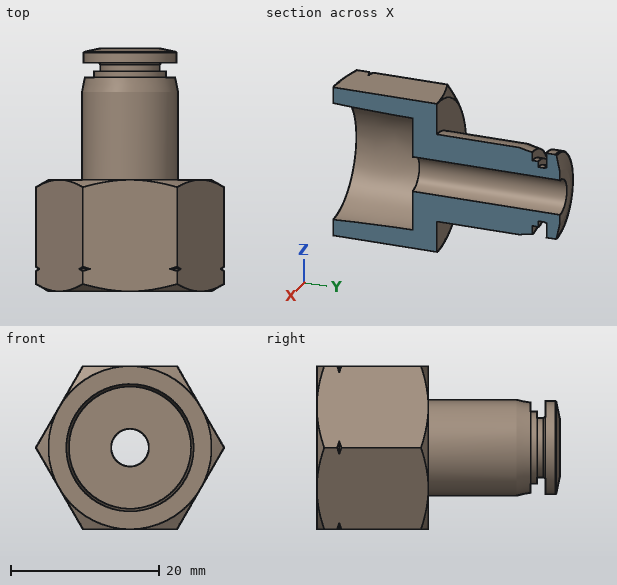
import cadquery as cq
import math

total_length = 32.8

across_flats = 22.0
nut_length = 15.02
chamfer_angle = math.radians(30)
flat_radius = across_flats / 2
corner_radius = flat_radius / math.cos(math.pi / 6)
chamfer_height = (corner_radius - flat_radius) * math.tan(chamfer_angle)

nick_position = 3.02
nick_depth = 0.45
nick_half_width = 0.3

socket_mouth_radius = 8.6
socket_depth = 11.48
taper_on_diameter = 1 / 16
socket_floor_radius = socket_mouth_radius - socket_depth * taper_on_diameter / 2
passage_radius = 2.53

body_radius = 6.5
shoulder_start = 26.9
shoulder_end = 28.83
shoulder_radius = 6.1

collar_radius = 4.9
collar_end = 29.7
neck_radius = 4.05
neck_end = 30.55
button_start = 30.8
neck_flare_radius = 4.15
button_radius = 6.3
button_rim_end = 32.15
crown_start = 32.3
crown_base_radius = 6.15
crown_top_radius = 3.87


def turned(points):
    """Revolve a closed outline of (radius, y) points about the Y axis."""
    return cq.Workplane("XY").polyline(points).close().revolve(360, (0, 0, 0), (0, 1, 0))


def make_nut():
    """Hexagon with corners on X, chamfered at both ends and nicked at its corners."""
    hexagon = cq.Workplane("XZ").polygon(6, 2 * corner_radius).extrude(-nut_length)
    chamfer_envelope = turned([
        (0, 0),
        (flat_radius, 0),
        (corner_radius, chamfer_height),
        (corner_radius, nut_length - chamfer_height),
        (flat_radius, nut_length),
        (0, nut_length),
    ])
    nick_ring = turned([
        (corner_radius - nick_depth, nick_position),
        (corner_radius, nick_position - nick_half_width),
        (corner_radius, nick_position + nick_half_width),
    ])
    return hexagon.intersect(chamfer_envelope).cut(nick_ring)


def make_body_and_sleeve():
    """Turned body and release sleeve, rooted in the solid web of the nut."""
    return turned([
        (0, socket_depth),
        (body_radius, socket_depth),
        (body_radius, shoulder_start),
        (shoulder_radius, shoulder_end),
        (collar_radius, shoulder_end),
        (collar_radius, collar_end),
        (neck_radius, collar_end),
        (neck_radius, neck_end),
        (neck_flare_radius, button_start),
        (button_radius, button_start),
        (button_radius, button_rim_end),
        (crown_base_radius, crown_start),
        (crown_top_radius, total_length),
        (0, total_length),
    ])


def make_bore():
    """Tapered socket followed by the narrow passage through to the button."""
    return turned([
        (0, 0),
        (socket_mouth_radius, 0),
        (socket_floor_radius, socket_depth),
        (passage_radius, socket_depth),
        (passage_radius, total_length),
        (0, total_length),
    ])


result = make_nut().union(make_body_and_sleeve()).cut(make_bore())